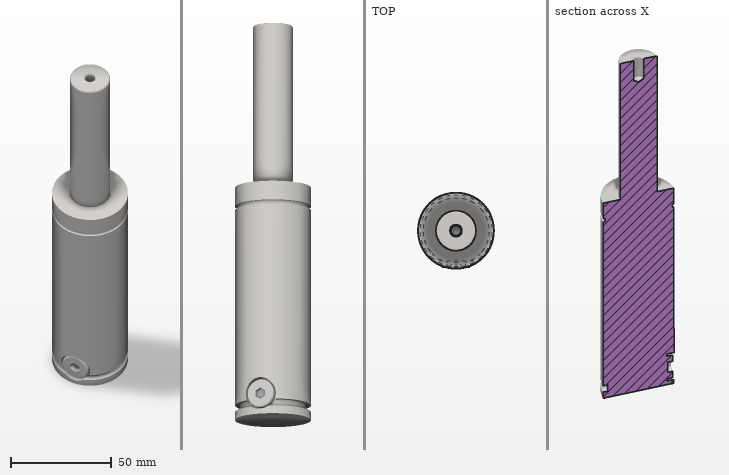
import cadquery as cq
import math

total_height = 200.0
body_height = 118.0
body_radius = 38.0 / 2

rod_radius = 20.0 / 2
rod_tip_radius = 1.0

rod_hole_diameter = 5.0
rod_hole_depth = 12.0
rod_hole_mouth_diameter = 6.0
drill_point_angle = 118.0

base_groove_bottom = 4.0
base_groove_top = 7.5
base_groove_depth = 2.5

collar_groove_center = 107.5
collar_groove_radius = 1.0

plug_height = 10.5
pocket_diameter = 16.0
pocket_depth = 4.0
plug_diameter = 14.0
plug_edge_chamfer = 0.5
plug_setback = 0.8
hex_sides = 6
hex_across_flats = 5.0
hex_depth = 2.5


def make_cylinder_and_rod():
    """Revolve the half section of the cylinder body, its grooves and the rod."""
    base_groove_radius = body_radius - base_groove_depth
    profile = (
        cq.Workplane("XZ")
        .moveTo(0, 0)
        .lineTo(body_radius, 0)
        .lineTo(body_radius, base_groove_bottom)
        .lineTo(base_groove_radius, base_groove_bottom)
        .lineTo(base_groove_radius, base_groove_top)
        .lineTo(body_radius, base_groove_top)
        .lineTo(body_radius, collar_groove_center - collar_groove_radius)
        .threePointArc(
            (body_radius - collar_groove_radius, collar_groove_center),
            (body_radius, collar_groove_center + collar_groove_radius),
        )
        .lineTo(body_radius, body_height)
        .lineTo(rod_radius, body_height)
        .lineTo(rod_radius, total_height - rod_tip_radius)
        .radiusArc((rod_radius - rod_tip_radius, total_height), -rod_tip_radius)
        .lineTo(0, total_height)
        .close()
    )
    return profile.revolve(360, (0, 0, 0), (0, 1, 0))


def make_rod_hole():
    """Blind hole from the rod tip with a countersunk mouth and a drill-point bottom."""
    hole_radius = rod_hole_diameter / 2
    mouth_radius = rod_hole_mouth_diameter / 2
    mouth_depth = mouth_radius - hole_radius
    point_height = hole_radius / math.tan(math.radians(drill_point_angle / 2))
    bottom = total_height - rod_hole_depth
    profile = (
        cq.Workplane("XZ")
        .moveTo(0, total_height)
        .lineTo(mouth_radius, total_height)
        .lineTo(hole_radius, total_height - mouth_depth)
        .lineTo(hole_radius, bottom)
        .lineTo(0, bottom - point_height)
        .close()
    )
    return profile.revolve(360, (0, 0, 0), (0, 1, 0))


def plug_axis_cylinder(diameter, inner_y, outer_y):
    """Cylinder on the plug axis, along Y between two Y positions."""
    return (
        cq.Workplane("XZ", origin=(0, inner_y, plug_height))
        .circle(diameter / 2)
        .extrude(inner_y - outer_y)
    )


def make_plug(root_y, face_y):
    """Filling plug with a chamfered face edge and a hexagon socket, one corner up."""
    hex_across_corners = hex_across_flats / math.cos(math.pi / hex_sides)
    socket = (
        cq.Workplane("XZ", origin=(0, face_y + hex_depth, plug_height))
        .transformed(rotate=(0, 0, 90))
        .polygon(hex_sides, hex_across_corners)
        .extrude(hex_depth)
    )
    plug = plug_axis_cylinder(plug_diameter, root_y, face_y)
    return plug.faces("<Y").edges().chamfer(plug_edge_chamfer).cut(socket)


pocket_floor_y = pocket_depth - body_radius
plug_face_y = plug_setback - body_radius

result = make_cylinder_and_rod().cut(make_rod_hole())
result = result.cut(plug_axis_cylinder(pocket_diameter, pocket_floor_y, -body_radius))
result = result.union(make_plug(pocket_floor_y, plug_face_y))